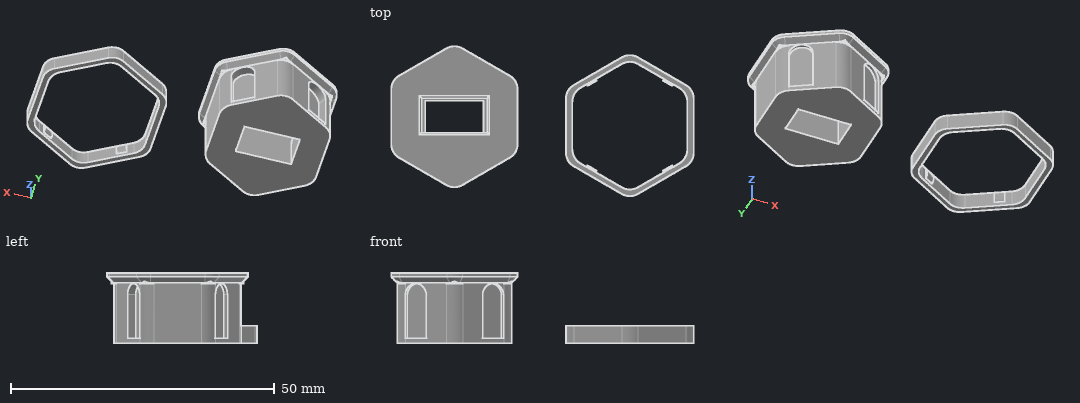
import cadquery as cq
import math

flange_across_flats = 24.0
body_across_flats = 21.8
corner_radius = 3.0
body_corner_radius = 3.1
pad_center = 2.2

housing_height = 13.4
flange_rim_height = 0.75
flange_chamfer = 1.25
flange_bottom = housing_height - flange_rim_height - flange_chamfer

slot_width = 4.6
slot_bottom = 1.05
slot_spring = 9.35
slot_top = flange_bottom
front_slot_depth = 0.8
back_slot_depth = 1.8

opening_length = 11.0
opening_width = 6.05
pocket_length = 12.45
pocket_width = 6.55
pocket_depth = 6.5
pocket_chamfer = 0.4
pocket_center_y = (pocket_width - opening_width) / 2

ring_height = 3.4
ring_across_sides = 24.3
ring_overall_x = 57.45
ring_center_x = ring_overall_x - (flange_across_flats + ring_across_sides) / 2
ring_center_y = -1.695

bump_length = 2.0
bump_rise = 0.35
bump_chord = 2.4
bump_center_z = 2.1
bump_radius = (bump_rise**2 + (bump_chord / 2) ** 2) / (2 * bump_rise)

BACK_FACES = [(60, -1), (120, 1)]
FRONT_FACES = [(-120, -1), (-60, 1)]


def hexagonal_prism(across_slants, across_sides, height):
    """Sharp-cornered prism with two corners on the Y axis, standing on Z = 0."""
    half_side = across_sides / 2
    tip_y = across_slants / math.sqrt(3)
    corner_y = tip_y - half_side * math.tan(math.radians(30))
    outline = [
        (0, tip_y),
        (-half_side, corner_y),
        (-half_side, -corner_y),
        (0, -tip_y),
        (half_side, -corner_y),
        (half_side, corner_y),
    ]
    return cq.Workplane("XY").polyline(outline).close().extrude(height)


def round_corners(prism, radius):
    return prism.edges("|Z").fillet(radius)


def on_slanted_face(shape, face_angle, corner_side):
    """Move a shape built around a face looking along +X onto the given slanted face."""
    along_face = corner_side * pad_center
    placed = shape.translate((body_across_flats / 2, along_face, 0))
    return placed.rotate((0, 0, 0), (0, 0, 1), face_angle)


def slot_cutter(depth):
    """Arch-topped upright slot, reaching from the face inwards."""
    half_width = slot_width / 2
    return (
        cq.Workplane("YZ")
        .moveTo(-half_width, slot_bottom)
        .lineTo(half_width, slot_bottom)
        .lineTo(half_width, slot_spring)
        .threePointArc((0, slot_top), (-half_width, slot_spring))
        .close()
        .extrude(2 * depth)
        .translate((-depth, 0, 0))
    )


def make_flange():
    total = flange_rim_height + flange_chamfer
    flange = round_corners(hexagonal_prism(flange_across_flats, flange_across_flats, total), corner_radius)
    flange = flange.faces("<Z").chamfer(flange_chamfer)
    return flange.translate((0, 0, flange_bottom))


def make_body():
    """Rounded body with a sharp-cornered neck that runs up into the flange."""
    lower = hexagonal_prism(body_across_flats, body_across_flats, flange_bottom)
    lower = round_corners(lower, body_corner_radius)
    for faces, depth in ((FRONT_FACES, front_slot_depth), (BACK_FACES, back_slot_depth)):
        for face_angle, corner_side in faces:
            lower = lower.cut(on_slanted_face(slot_cutter(depth), face_angle, corner_side))
    neck = hexagonal_prism(body_across_flats, body_across_flats, flange_chamfer)
    return lower.union(neck.translate((0, 0, flange_bottom)))


def make_housing():
    housing = make_body().union(make_flange())

    opening = cq.Workplane("XY").rect(opening_length, opening_width).extrude(housing_height)
    pocket = (
        cq.Workplane("XY", origin=(0, pocket_center_y, housing_height))
        .rect(pocket_length, pocket_width)
        .extrude(-pocket_depth)
    )
    entry = (
        cq.Workplane("XY", origin=(0, pocket_center_y, housing_height))
        .rect(pocket_length + 2 * pocket_chamfer, pocket_width + 2 * pocket_chamfer)
        .extrude(-pocket_chamfer, taper=45)
    )
    return housing.cut(opening).cut(pocket).cut(entry)


def bump():
    """Lengthwise slice of a horizontal cylinder that stands proud of the ring's inner face."""
    roller = (
        cq.Workplane("XZ", origin=(bump_radius - bump_rise, 0, bump_center_z))
        .circle(bump_radius)
        .extrude(bump_length / 2, both=True)
    )
    inside_wall = cq.Workplane("XY").box(1.15, bump_length, ring_height, centered=(True, True, False))
    return roller.intersect(inside_wall)


def make_ring():
    outside = hexagonal_prism(flange_across_flats, ring_across_sides, ring_height)
    inside = hexagonal_prism(body_across_flats, body_across_flats, ring_height)
    ring = round_corners(outside, corner_radius).cut(round_corners(inside, body_corner_radius))
    for face_angle, corner_side in FRONT_FACES + BACK_FACES:
        ring = ring.union(on_slanted_face(bump(), face_angle, corner_side))
    return ring.translate((ring_center_x, ring_center_y, 0))


housing = make_housing()
ring = make_ring()
result = cq.Compound.makeCompound([housing.val(), ring.val()])